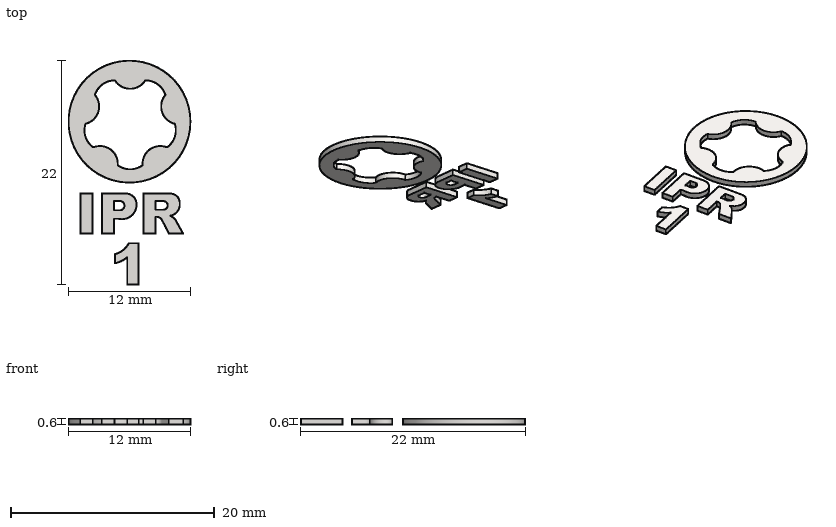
import cadquery as cq
import math

thickness = 0.6
overall_length = 22.0
ring_diameter = 11.98
ring_radius = ring_diameter / 2

lobe_count = 5
opening_center_x = 0.07
opening_center_y = -0.07
corner_radius = 4.38
lobe_tip_radius = 3.28
recess_radius = 4.6
lobe_half_angle = 20.0
first_lobe_angle = 90.0

letter_top = -7.04
letter_height = 3.95
letter_base = letter_top - letter_height
stem_width = 1.2
i_left = -4.82
p_left = -2.7
r_left = 1.36
counter_top = letter_top - 0.77

digit_base = ring_radius - overall_length
digit_height = 4.1
digit_top = digit_base + digit_height
digit_stem_left = -0.25
digit_stem_right = 0.9
digit_flag_left = -1.43


def opening_point(radius, angle):
    """Point of the ring opening at a polar position about its own centre."""
    turn = math.radians(angle)
    return (
        opening_center_x + radius * math.cos(turn),
        opening_center_y + radius * math.sin(turn),
    )


def make_ring():
    """Round plate with an opening of inward lobes and outward recesses."""
    pitch = 360 / lobe_count
    start = opening_point(corner_radius, first_lobe_angle - lobe_half_angle)
    opening = cq.Workplane("XY").moveTo(*start)
    for index in range(lobe_count):
        lobe_angle = first_lobe_angle + index * pitch
        opening = opening.threePointArc(
            opening_point(lobe_tip_radius, lobe_angle),
            opening_point(corner_radius, lobe_angle + lobe_half_angle),
        )
        opening = opening.threePointArc(
            opening_point(recess_radius, lobe_angle + pitch / 2),
            opening_point(corner_radius, lobe_angle + pitch - lobe_half_angle),
        )
    disc = cq.Workplane("XY").circle(ring_radius).extrude(thickness)
    return disc.cut(opening.close().extrude(thickness))


def make_window(left, straight_top, nose, straight_bottom):
    """Cutter for a letter window: square on the left, rounded on the right."""
    bottom_y = straight_bottom[1]
    return (
        cq.Workplane("XY")
        .moveTo(left, counter_top)
        .lineTo(straight_top, counter_top)
        .threePointArc(nose, straight_bottom)
        .lineTo(left, bottom_y)
        .close()
        .extrude(thickness)
    )


def make_letter_i():
    """Plain upright bar."""
    return (
        cq.Workplane("XY")
        .moveTo(i_left, letter_base)
        .lineTo(i_left + stem_width, letter_base)
        .lineTo(i_left + stem_width, letter_top)
        .lineTo(i_left, letter_top)
        .close()
        .extrude(thickness)
    )


def make_letter_p():
    """Stem with a rounded bowl and a window."""
    stem_right = p_left + stem_width
    bowl_start = -0.4
    bowl_shoulder = (0.45, -7.4)
    bowl_right = (0.7, -8.22)
    bowl_under = (0.2, -9.24)
    bowl_end = -1.05
    bowl_bottom = -9.55
    window_straight_top = -0.84
    window_nose = (-0.5, -8.27)
    window_straight_bottom = (-0.9, -8.69)
    body = (
        cq.Workplane("XY")
        .moveTo(p_left, letter_base)
        .lineTo(p_left, letter_top)
        .lineTo(bowl_start, letter_top)
        .threePointArc(bowl_shoulder, bowl_right)
        .threePointArc(bowl_under, (bowl_end, bowl_bottom))
        .lineTo(stem_right, bowl_bottom)
        .lineTo(stem_right, letter_base)
        .close()
        .extrude(thickness)
    )
    return body.cut(make_window(stem_right, window_straight_top, window_nose, window_straight_bottom))


def make_letter_r():
    """Stem with a rounded bowl, a window and a slanting leg."""
    stem_right = r_left + stem_width
    bowl_start = 3.94
    bowl_shoulder = (4.62, -7.28)
    bowl_right = (4.95, -8.05)
    bowl_under = (4.7, -8.82)
    leg_notch = (4.0, -9.24)
    leg_outer_bend = (4.3, -9.41)
    leg_outer_straight = (4.6, -9.76)
    leg_outer_foot = 5.28
    leg_inner_foot = 3.87
    leg_inner_straight = (3.2, -9.72)
    leg_inner_bend = (2.97, -9.43)
    crotch_height = -9.35
    window_straight_top = 3.36
    window_nose = (3.74, -8.22)
    window_straight_bottom = (3.3, -8.62)
    body = (
        cq.Workplane("XY")
        .moveTo(r_left, letter_base)
        .lineTo(r_left, letter_top)
        .lineTo(bowl_start, letter_top)
        .threePointArc(bowl_shoulder, bowl_right)
        .threePointArc(bowl_under, leg_notch)
        .threePointArc(leg_outer_bend, leg_outer_straight)
        .lineTo(leg_outer_foot, letter_base)
        .lineTo(leg_inner_foot, letter_base)
        .lineTo(*leg_inner_straight)
        .threePointArc(leg_inner_bend, (stem_right, crotch_height))
        .lineTo(stem_right, letter_base)
        .close()
        .extrude(thickness)
    )
    return body.cut(make_window(stem_right, window_straight_top, window_nose, window_straight_bottom))


def make_digit_one():
    """Upright stem with a curved flag on its upper left."""
    flag_top_start = -0.07
    flag_upper_bend = (-0.64, -12.6)
    flag_upper_end = -13.0
    flag_lower_end = -13.9
    flag_lower_bend = (-0.73, -13.65)
    flag_root = -13.33
    return (
        cq.Workplane("XY")
        .moveTo(digit_stem_left, digit_base)
        .lineTo(digit_stem_right, digit_base)
        .lineTo(digit_stem_right, digit_top)
        .lineTo(flag_top_start, digit_top)
        .threePointArc(flag_upper_bend, (digit_flag_left, flag_upper_end))
        .lineTo(digit_flag_left, flag_lower_end)
        .threePointArc(flag_lower_bend, (digit_stem_left, flag_root))
        .close()
        .extrude(thickness)
    )


ring = make_ring()
letter_i = make_letter_i()
letter_p = make_letter_p()
letter_r = make_letter_r()
digit_one = make_digit_one()

result = cq.Compound.makeCompound(
    [ring.val(), letter_i.val(), letter_p.val(), letter_r.val(), digit_one.val()]
)